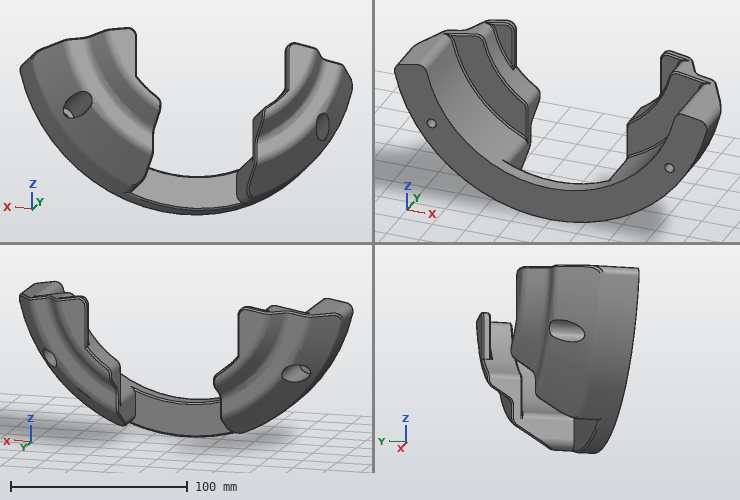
import cadquery as cq
import math


rim_radius = 97.5
bore_radius = 77.5
neck_radius = 58.0
upper_taper_radius = 71.5

lip_height = 10.0
taper_start = 21.7
step_face = 40.0
shoulder = 46.0
flange_face = 55.0
depth = 60.0

taper_angle = 30
end_angle = 10

gap_edge = 30.0
flange_edge = 44.5

round_radius = 5.0
chamfer = 1.0

hole_x = 72.5
hole_z = -50.2
hole_diameter = 5.5
counterbore_diameter = 12.0
counterbore_floor = lip_height

clearance = 0.1
bury = 0.4
reach = 2 * rim_radius


def disc(radius, front, back):
    plane = cq.Workplane("XZ", origin=(0, front, 0))
    return plane.circle(radius).extrude(front - back)


def sector(inner_x, front, back):
    """Prism to the right of inner_x and below the sloping end face."""
    slope = math.tan(math.radians(end_angle))
    corners = [
        (inner_x, -inner_x * slope),
        (reach, -reach * slope),
        (reach, -reach),
        (inner_x, -reach),
    ]
    plane = cq.Workplane("XZ", origin=(0, front, 0))
    return plane.polyline(corners).close().extrude(front - back)


def axis_distance(shape):
    center = shape.Center()
    return math.hypot(center.x, center.z)


def round_corners(solid, low, high):
    """Round the corners along Y whose distance from the axis is in the range."""
    corners = solid.edges("|Y").filter(lambda edge: low < axis_distance(edge) < high)
    return corners.fillet(round_radius)


def walled_sector(inner_radius, front):
    """Everything outside inner_radius, with rounded inner corners."""
    wall = sector(gap_edge, front, depth).cut(disc(inner_radius, front, depth))
    return round_corners(wall, 0, inner_radius + clearance)


def inside_corner(radius, face):
    """Filler that chamfers the inside corner between a bore and the face at its end."""
    leg = chamfer + bury
    filler = walled_sector(radius - chamfer, face - leg)
    edges = filler.faces("<Y").edges().filter(lambda edge: axis_distance(edge) < radius + round_radius)
    return edges.chamfer(leg).intersect(disc(radius + round_radius, 0, face))


def chamfer_front(solid, radius_limit):
    """Chamfer the front edges whose middle is closer to the axis than the limit."""
    edges = solid.faces("<Y").edges().filter(lambda edge: axis_distance(edge) < radius_limit)
    return edges.chamfer(chamfer)


def taper_run(front, back):
    """How far a taper closes in on the axis between two stations."""
    return (back - front) * math.tan(math.radians(taper_angle))


def turned(profile):
    return cq.Workplane("XY").polyline(profile).close().revolve(360, (0, 0, 0), (0, 1, 0))


def outer_envelope():
    """Turned outside: rim, taper, shoulder and upper taper, rounded from the shoulder back."""
    profile = [
        (0, 0),
        (rim_radius, 0),
        (rim_radius, taper_start),
        (rim_radius - taper_run(taper_start, shoulder), shoulder),
        (upper_taper_radius, shoulder),
        (upper_taper_radius - taper_run(shoulder, depth), depth),
        (0, depth),
    ]
    rear_limit = taper_start + clearance
    corners = turned(profile).edges("%CIRCLE").filter(lambda edge: edge.Center().y > rear_limit)
    return corners.fillet(round_radius)


def rim_rounding():
    """Turned body that trims the corner between rim and taper to a round."""
    outer = rim_radius + clearance
    back = depth + round_radius
    profile = [
        (0, 0),
        (outer, 0),
        (outer, taper_start),
        (outer - taper_run(taper_start, back), back),
        (0, back),
    ]
    circles = turned(profile).edges("%CIRCLE")
    corner = circles.filter(lambda edge: abs(edge.Center().y - taper_start) < clearance)
    return corner.fillet(round_radius)


def on_end_taper(edge):
    """True for the straight stretch of lower taper outline on the end face."""
    center = edge.Center()
    height = center.z + center.x * math.tan(math.radians(end_angle))
    on_end_face = abs(height) < clearance
    along_taper = taper_start < center.y < shoulder
    outside = axis_distance(edge) > bore_radius + round_radius
    return edge.geomType() == "LINE" and on_end_face and along_taper and outside


def on_gap_taper(edge):
    """True where the gap face cuts a taper, which leaves a hyperbola."""
    return edge.geomType() == "HYPERBOLA"


def make_side():
    side = walled_sector(bore_radius, 0)

    step = walled_sector(neck_radius, step_face)
    step = step.intersect(disc(bore_radius + round_radius, 0, depth))
    side = side.union(chamfer_front(step, bore_radius))

    flange = sector(flange_edge, flange_face, depth)
    flange = flange.intersect(disc(neck_radius + round_radius, 0, depth))
    flange = round_corners(flange, 0, neck_radius - chamfer)
    side = side.union(chamfer_front(flange, neck_radius))

    side = side.intersect(outer_envelope())
    side = round_corners(side, rim_radius - clearance, rim_radius + clearance)

    outline = side.edges().filter(lambda edge: on_gap_taper(edge) or on_end_taper(edge))
    side = outline.chamfer(chamfer)
    side = side.intersect(rim_rounding())

    side = side.union(inside_corner(bore_radius, step_face))
    neck_corner = inside_corner(neck_radius, flange_face)
    return side.union(neck_corner.intersect(sector(flange_edge, 0, depth)))


def fastener_hole():
    hole = cq.Workplane("XZ").center(hole_x, hole_z).circle(hole_diameter / 2).extrude(-depth)
    plane = cq.Workplane("XZ", origin=(0, counterbore_floor, 0))
    counterbore = plane.center(hole_x, hole_z).circle(counterbore_diameter / 2).extrude(-depth)
    return hole.union(counterbore)


def make_lip():
    """Low rim that joins the two sides across the gap."""
    lip = disc(rim_radius, 0, lip_height).cut(disc(bore_radius, 0, lip_height))
    lip = lip.faces(">Y").edges().chamfer(chamfer)
    span = cq.Workplane("XY").box(4 * gap_edge, reach, reach).translate((0, 0, -reach / 2))
    return lip.intersect(span)


side = make_side().cut(fastener_hole())
result = side.union(side.mirror("YZ")).union(make_lip())